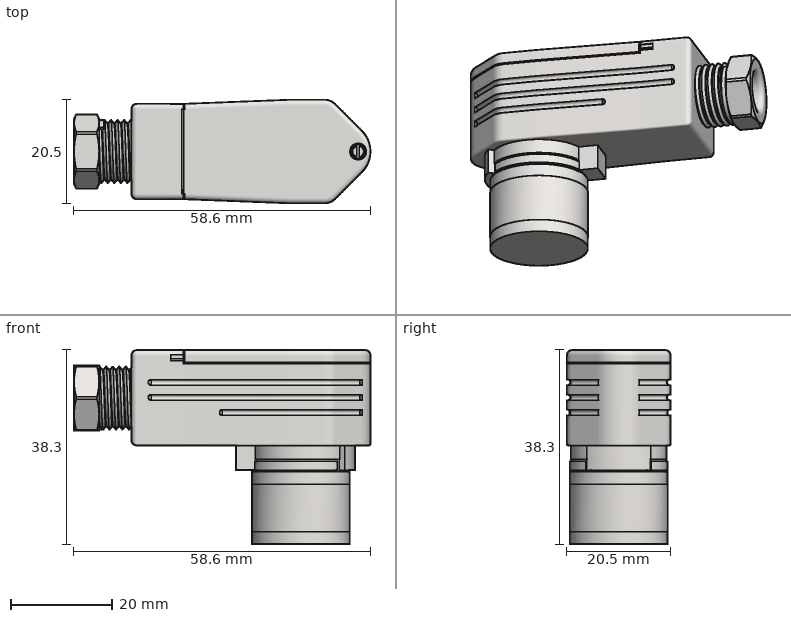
import cadquery as cq
import math


total_length = 58.55
housing_start = 11.35
housing_height = 18.85
rear_half_width = 9.4
front_half_width = 10.25
taper_start = 21.6
taper_end = 42.75
tip_radius = 5.75
shoulder_radius = 2.9
edge_round = 1.05
bottom_round = 0.35

seam_width = 0.25
seam_depth = 0.35
lid_gap_start = 21.25
lid_gap_width = 0.4
lid_thickness = 2.6
latch_start = 19.1
latch_length = 2.8
latch_height = 1.2
latch_drop = 0.95
latch_depth = 0.3
latch_ledge_height = 0.4
latch_ledge_depth = 0.1

groove_width = 1.1
groove_depth = 0.7
top_groove_drop = 6.4
groove_pitch = 3.0
groove_starts = (14.7, 14.7, 28.75)

screw_x = 56.1
screw_recess_diameter = 3.2
screw_recess_depth = 0.7
screw_head_diameter = 2.8
screw_head_height = 0.5
screw_head_chamfer = 0.3
screw_slot_width = 0.5
screw_slot_depth = 0.35

gland_z = 9.35
nut_length = 5.05
nut_across_flats = 13.0
nut_turn = 30.0
nut_corner_diameter = 14.7
nut_face_diameter = 12.75
nut_chamfer_length = 0.45
bore_diameter = 7.7
bore_depth = 3.3
bore_mouth_round = 1.0
thread_diameter = 12.5
thread_root_diameter = 11.2
thread_pitch = 1.3
thread_ridge_width = 1.25
ridge_sink = 0.05
thread_start = 4.45
thread_turns = 6
runout_end = 5.9
runout_from_angle = -90.0
runout_to_angle = 40.0

plug_x = 44.8
plug_length = 19.45
plug_diameter = 19.3
neck_diameter = 19.0
seat_diameter = 18.75
ring_top = 3.1
ring_bottom = 4.85
seat_gap = 0.35
grip_diameter = 19.4
grip_top = 7.7
grip_bottom = 17.0
ring_gap_angle = 42.0

key_reach = 12.8
key_width = 6.2
key_slot_width = 6.6
shoe_radius = 10.7
shoe_angle = 36.0

diagonal = math.sqrt(0.5)
tip_center_x = total_length - tip_radius
tip_tangent = (tip_center_x + tip_radius * diagonal, tip_radius * diagonal)
shoulder_corner_x = tip_center_x + tip_radius / diagonal - front_half_width
shoulder_start_x = shoulder_corner_x - shoulder_radius * math.tan(math.pi / 8)
shoulder_center_y = front_half_width - shoulder_radius
shoulder_middle = (
    shoulder_start_x + shoulder_radius * math.sin(math.pi / 8),
    shoulder_center_y + shoulder_radius * math.cos(math.pi / 8),
)
shoulder_end = (
    shoulder_start_x + shoulder_radius * diagonal,
    shoulder_center_y + shoulder_radius * diagonal,
)


def mirrored(point):
    return (point[0], -point[1])


def housing_outline(z):
    """Closed plan outline of the housing at height z."""
    return (
        cq.Workplane("XY", origin=(0, 0, z))
        .moveTo(housing_start, rear_half_width)
        .lineTo(taper_start, rear_half_width)
        .lineTo(taper_end, front_half_width)
        .lineTo(shoulder_start_x, front_half_width)
        .threePointArc(shoulder_middle, shoulder_end)
        .lineTo(*tip_tangent)
        .threePointArc((total_length, 0), mirrored(tip_tangent))
        .lineTo(*mirrored(shoulder_end))
        .threePointArc(mirrored(shoulder_middle), (shoulder_start_x, -front_half_width))
        .lineTo(taper_end, -front_half_width)
        .lineTo(taper_start, -rear_half_width)
        .lineTo(housing_start, -rear_half_width)
        .close()
    )


def wall_band(z, height, depth):
    """Thin band of the housing wall, cut away to form a seam."""
    outer = housing_outline(z).extrude(height)
    inner = housing_outline(z).offset2D(-depth).extrude(height)
    return outer.cut(inner)


def make_housing():
    body = housing_outline(0).extrude(housing_height)
    body = body.faces("<Z").edges("not <X").fillet(bottom_round)
    return body.faces("<X or >Z").edges().fillet(edge_round)


def lid_seams():
    """Seam along the wall under the lid, and seam across the top behind it."""
    seam_z = housing_height - lid_thickness
    half = seam_width / 2
    lid_zone = (
        cq.Workplane("XY")
        .box(total_length, total_length, total_length, centered=(False, True, True))
        .translate((taper_start, 0, seam_z))
    )
    along = wall_band(seam_z - half, seam_width, seam_depth).intersect(lid_zone)
    across = (
        cq.Workplane("XY")
        .box(lid_gap_width, 2 * (rear_half_width - edge_round), seam_depth)
        .translate((lid_gap_start + lid_gap_width / 2, 0, housing_height - seam_depth / 2))
    )
    seams = along.union(across)
    for side in (-1, 1):
        upright = (
            cq.Workplane("XY")
            .box(seam_width, 2 * edge_round, lid_thickness)
            .translate((taper_start + half, side * rear_half_width, seam_z + lid_thickness / 2))
        )
        seams = seams.union(upright)
    return seams


def latch_recess(side):
    """Shallow side recess that crosses the lid seam, with a ledge along its lower edge."""
    center_x = latch_start + latch_length / 2
    top_z = housing_height - latch_drop
    upper_height = latch_height - latch_ledge_height
    upper = (
        cq.Workplane("XY")
        .box(latch_length, 2 * latch_depth, upper_height)
        .translate((center_x, side * rear_half_width, top_z - upper_height / 2))
    )
    ledge = (
        cq.Workplane("XY")
        .box(latch_length, 2 * latch_ledge_depth, latch_height)
        .translate((center_x, side * rear_half_width, top_z - latch_height / 2))
    )
    return upper.union(ledge)


def wall_half_width(x):
    """Half width of the housing at x, up to the end of the taper."""
    share = max(0, (x - taper_start) / (taper_end - taper_start))
    return rear_half_width + share * (front_half_width - rear_half_width)


def grip_groove_parts(start_x, z):
    """Groove along the +Y wall from start_x to the tip arc, and its rounded start."""
    path = (
        cq.Workplane("XY", origin=(0, 0, z))
        .moveTo(housing_start, rear_half_width)
        .lineTo(taper_start, rear_half_width)
        .lineTo(taper_end, front_half_width)
        .lineTo(shoulder_start_x, front_half_width)
        .threePointArc(shoulder_middle, shoulder_end)
        .lineTo(*tip_tangent)
    )
    profile = cq.Workplane("YZ", origin=(housing_start, rear_half_width, z))
    full_run = profile.slot2D(2 * groove_depth, groove_width).sweep(path, transition="right")
    arc_center_x = start_x + groove_width / 2
    kept_zone = (
        cq.Workplane("XY")
        .box(total_length, total_length, total_length, centered=(False, True, True))
        .translate((arc_center_x, 0, z))
    )
    round_start = (
        cq.Workplane("XZ", origin=(arc_center_x, wall_half_width(arc_center_x) + groove_depth, z))
        .circle(groove_width / 2)
        .extrude(2 * groove_depth - groove_width / 2)
    )
    return (full_run.intersect(kept_zone), round_start)


def cut_grip_grooves(body):
    for row, start_x in enumerate(groove_starts):
        z = housing_height - top_groove_drop - row * groove_pitch
        for part in grip_groove_parts(start_x, z):
            body = body.cut(part).cut(part.mirror("XZ"))
    return body


def add_screw(body):
    floor_z = housing_height - screw_recess_depth
    floor = cq.Workplane("XY", origin=(screw_x, 0, floor_z))
    recess = floor.circle(screw_recess_diameter / 2).extrude(2 * screw_recess_depth)
    head = floor.circle(screw_head_diameter / 2).extrude(screw_head_height)
    head = head.faces(">Z").chamfer(screw_head_chamfer)
    slot = (
        floor.workplane(offset=screw_head_height - screw_slot_depth)
        .rect(screw_slot_width, screw_head_diameter)
        .extrude(screw_slot_depth)
    )
    return body.cut(recess).union(head.cut(slot))


def make_nut():
    face_radius = nut_face_diameter / 2
    corner_radius = nut_corner_diameter / 2
    hexagon = (
        cq.Workplane("YZ", origin=(0, 0, gland_z))
        .polygon(6, nut_across_flats, circumscribed=True)
        .extrude(nut_length)
        .rotate((0, 0, gland_z), (1, 0, gland_z), nut_turn)
    )
    turned_envelope = (
        cq.Workplane("XY")
        .polyline([
            (0, 0),
            (0, face_radius),
            (nut_chamfer_length, corner_radius),
            (nut_length - nut_chamfer_length, corner_radius),
            (nut_length, face_radius),
            (nut_length, 0),
        ])
        .close()
        .revolve(360, (0, 0, 0), (1, 0, 0))
        .translate((0, 0, gland_z))
    )
    return hexagon.intersect(turned_envelope)


def thread_runout(radius):
    """Sector next to the nut where the thread groove is not cut."""

    def rim_point(angle):
        return (radius * math.cos(math.radians(angle)), radius * math.sin(math.radians(angle)))

    return (
        cq.Workplane("YZ", origin=(thread_start, 0, gland_z))
        .lineTo(*rim_point(runout_from_angle))
        .threePointArc(
            rim_point((runout_from_angle + runout_to_angle) / 2),
            rim_point(runout_to_angle),
        )
        .close()
        .extrude(runout_end - thread_start)
    )


def make_thread():
    """Right-handed V thread on a core, from inside the nut into the housing wall."""
    root_radius = thread_root_diameter / 2
    crest_radius = thread_diameter / 2
    half_base = thread_ridge_width / 2
    helix = cq.Wire.makeHelix(thread_pitch, thread_pitch * thread_turns, root_radius)
    ridge = (
        cq.Workplane("XZ")
        .polyline([
            (root_radius - ridge_sink, -half_base),
            (crest_radius, 0),
            (root_radius - ridge_sink, half_base),
        ])
        .close()
        .sweep(cq.Workplane(obj=helix), isFrenet=True)
        .rotate((0, 0, 0), (0, 1, 0), 90)
        .translate((thread_start, 0, gland_z))
    )
    core = (
        cq.Workplane("YZ", origin=(thread_start, 0, gland_z))
        .circle(root_radius)
        .extrude(housing_start + edge_round - thread_start)
    )
    return core.union(ridge).union(thread_runout(crest_radius))


def cable_bore():
    bore_radius = bore_diameter / 2
    mouth_radius = bore_radius + bore_mouth_round
    return (
        cq.Workplane("XY")
        .moveTo(0, 0)
        .lineTo(0, mouth_radius)
        .radiusArc((bore_mouth_round, bore_radius), -bore_mouth_round)
        .lineTo(bore_depth, bore_radius)
        .lineTo(bore_depth, 0)
        .close()
        .revolve(360, (0, 0, 0), (1, 0, 0))
        .translate((0, 0, gland_z))
    )


def plug_cylinder(top, bottom, diameter):
    """Coaxial plug section between two depths below the housing."""
    return (
        cq.Workplane("XY", origin=(plug_x, 0, -bottom))
        .circle(diameter / 2)
        .extrude(bottom - top)
    )


def plug_sector(top, bottom, radius, half_angle):
    """Sector of a disc on the +X side of the plug axis."""
    x = radius * math.cos(math.radians(half_angle))
    y = radius * math.sin(math.radians(half_angle))
    return (
        cq.Workplane("XY", origin=(plug_x, 0, -bottom))
        .lineTo(x, -y)
        .threePointArc((radius, 0), (x, y))
        .close()
        .extrude(bottom - top)
    )


def plug_block(top, bottom, width):
    """Straight block that reaches from the plug axis toward -X."""
    return (
        cq.Workplane("XY", origin=(plug_x - key_reach / 2, 0, -bottom))
        .rect(key_reach, width)
        .extrude(bottom - top)
    )


def make_plug():
    ring = plug_cylinder(ring_top, ring_bottom, plug_diameter)
    ring = ring.cut(plug_block(ring_top, ring_bottom, key_slot_width))
    ring = ring.cut(plug_sector(ring_top, ring_bottom, plug_diameter, ring_gap_angle))
    return (
        plug_cylinder(-edge_round, ring_top - seat_gap, neck_diameter)
        .union(plug_cylinder(ring_top - seat_gap, ring_bottom + seat_gap, seat_diameter))
        .union(ring)
        .union(plug_cylinder(ring_bottom + seat_gap, plug_length, plug_diameter))
        .union(plug_cylinder(grip_top, grip_bottom, grip_diameter))
        .union(plug_block(-edge_round, ring_bottom, key_width))
        .union(plug_sector(-edge_round, ring_bottom, shoe_radius, shoe_angle))
    )


housing = make_housing()
housing = housing.cut(lid_seams())
for side in (-1, 1):
    housing = housing.cut(latch_recess(side))
housing = cut_grip_grooves(housing)
housing = add_screw(housing)

gland = make_nut().union(make_thread()).cut(cable_bore())
result = housing.union(gland).union(make_plug())